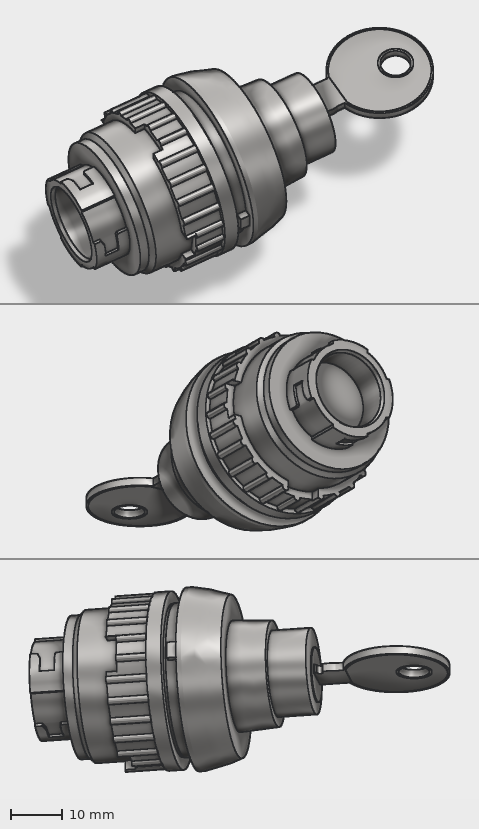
import cadquery as cq


SPIGOT_END = 7.45
COLLAR_END = 9.4
BODY_CHAMFER_END = 10.45
NUT_REAR = 16.4
NOTCH_END = 18.5
FLANGE_REAR = 24.5
FLANGE_FRONT = 27.5
GASKET_REAR = 28.0
BEZEL_REAR = 30.6
BEZEL_RIM_END = 31.65
BEZEL_FRONT = 39.2
CONE_FRONT = 46.95
LOCK_FRONT = 54.55
OVERALL_LENGTH = 80.9

COLLAR_R = 28.2 / 2
BODY_R = 30.0 / 2
FLANGE_R = 35.0 / 2
GASKET_R = 30.3 / 2
BEZEL_R = 36.0 / 2
BEZEL_FRONT_R = 16.0
BEZEL_MID_R = 17.2
CONE_REAR_R = 10.9
CONE_FRONT_R = 10.45
LOCK_R = 17.0 / 2

RIB_COUNT = 25
RIB_R = 0.7
NUT_ROOT_R = 16.5
NOTCH_WIDTH = 7.1

GASKET_TAB_REACH = 16.5
GASKET_TAB_WIDTH = 3.2
GASKET_TAB_REAR = 28.6
GASKET_NOTCH_WIDTH = 11.5
GASKET_NOTCH_DEPTH = 0.25

QUARTER_TURNS = (0, 90, 180, 270)
SPIGOT_ROOT_R = 9.5
LOBE_R = 20.0 / 2
LOBE_WIDTH = 8.1
SLOT_REAR = 2.0
SLOT_FRONT = 4.9
SLOT_FLARE_LENGTH = 1.1
SLOT_FLARE_DROP = 0.6
SLOT_CORNER = 0.3
BORE_R = 15.3 / 2
BORE_MOUTH_R = 8.0
BORE_MOUTH_DEPTH = 0.8
BORE_DEPTH = 6.9

KEY_X = -2.0
PLUG_R = 5.4
PLUG_HEIGHT = 0.2
KEY_HEAD_R = 10.45
KEY_HEAD_Y = OVERALL_LENGTH - KEY_HEAD_R
KEY_THICKNESS = 1.8
KEY_RIM_STEP = 0.1
KEY_RIM_WIDTH = 0.4
KEY_HOLE_R = 6.0 / 2
KEY_HOLE_RIM_R = 7.0 / 2
KEY_HOLE_Y = 74.1
KEY_PAD_END = 61.1
BLADE_WIDTH = 6.9
BLADE_ROOT_Y = LOCK_FRONT - 0.8
TOOTH_TIP_X = 1.6
TOOTH_FRONT_Y = 59.1
TOOTH_REAR_Y = 56.5
CUT_R = 0.6
CUT_X = 1.0
CUT_MOUTH_Y = 54.95


def disc_along_y(radius, rear, front, x=0.0):
    """Solid cylinder parallel to Y between two stations."""
    return cq.Workplane("XZ", origin=(x, rear, 0)).circle(radius).extrude(rear - front)


def box(width, rear, front, low, high):
    """Block centred on X = 0 between two stations and two heights."""
    size = (width, front - rear, high - low)
    return cq.Workplane("XY", origin=(0, rear, low)).box(*size, centered=(True, False, False))


def turned(solid, angle):
    """Copy of a solid turned about the Y axis."""
    return solid.rotate((0, 0, 0), (0, 1, 0), angle)


def turned_body():
    """Revolved core from the rear collar to the lock cylinder."""
    bezel_mid = (BEZEL_RIM_END + BEZEL_FRONT) / 2
    profile = (
        cq.Workplane("XY")
        .moveTo(0, SPIGOT_END)
        .lineTo(COLLAR_R, SPIGOT_END)
        .lineTo(COLLAR_R, COLLAR_END)
        .lineTo(BODY_R, BODY_CHAMFER_END)
        .lineTo(BODY_R, FLANGE_REAR)
        .lineTo(FLANGE_R, FLANGE_REAR)
        .lineTo(FLANGE_R, FLANGE_FRONT)
        .lineTo(BODY_R, FLANGE_FRONT)
        .lineTo(BODY_R, BEZEL_REAR)
        .lineTo(BEZEL_R, BEZEL_REAR)
        .lineTo(BEZEL_R, BEZEL_RIM_END)
        .threePointArc((BEZEL_MID_R, bezel_mid), (BEZEL_FRONT_R, BEZEL_FRONT))
        .lineTo(CONE_REAR_R, BEZEL_FRONT)
        .lineTo(CONE_FRONT_R, CONE_FRONT)
        .lineTo(LOCK_R, CONE_FRONT)
        .lineTo(LOCK_R, LOCK_FRONT)
        .lineTo(0, LOCK_FRONT)
        .close()
    )
    return profile.revolve(360, (0, 0, 0), (0, 1, 0))


def gasket():
    """Ring behind the bezel with a shallow top notch and an anti-rotation tab on +X."""
    ring = disc_along_y(GASKET_R, GASKET_REAR, BEZEL_REAR)
    notch_front = GASKET_REAR + GASKET_NOTCH_DEPTH
    ring = ring.cut(box(GASKET_NOTCH_WIDTH, GASKET_REAR, notch_front, 0, GASKET_R))
    tab = box(GASKET_TAB_WIDTH, GASKET_TAB_REAR, BEZEL_REAR, 0, GASKET_TAB_REACH)
    return ring.union(turned(tab, 90))


def nut():
    """Ribbed ring with four spanner notches in its rear edge."""
    ring = disc_along_y(NUT_ROOT_R, NUT_REAR, FLANGE_REAR)
    rib = disc_along_y(RIB_R, NUT_REAR, FLANGE_REAR).translate((0, 0, -NUT_ROOT_R))
    for index in range(RIB_COUNT):
        ring = ring.union(turned(rib, index * 360 / RIB_COUNT))
    notch = box(NOTCH_WIDTH, NUT_REAR, NOTCH_END, 0, BEZEL_R)
    for angle in QUARTER_TURNS:
        ring = ring.cut(turned(notch, angle))
    return ring


def bayonet_slot():
    """Slot for the top lobe: from the lobe's middle out to its -X side, flared at the mouth."""
    mouth_x = -LOBE_WIDTH / 2
    flare_x = mouth_x + SLOT_FLARE_LENGTH
    block = (
        cq.Workplane("XY")
        .moveTo(0, SLOT_REAR)
        .lineTo(flare_x, SLOT_REAR)
        .lineTo(mouth_x, SLOT_REAR - SLOT_FLARE_DROP)
        .lineTo(mouth_x, SLOT_FRONT + SLOT_CORNER)
        .lineTo(mouth_x + SLOT_CORNER, SLOT_FRONT)
        .lineTo(0, SLOT_FRONT)
        .close()
        .extrude(BEZEL_R)
    )
    return block.cut(disc_along_y(SPIGOT_ROOT_R, 0, SPIGOT_END))


def spigot():
    """Rear tube with four slotted lobes."""
    tube = disc_along_y(SPIGOT_ROOT_R, 0, SPIGOT_END)
    lobe = box(LOBE_WIDTH, 0, SPIGOT_END, 0, BEZEL_R)
    lobe = lobe.intersect(disc_along_y(LOBE_R, 0, SPIGOT_END)).cut(bayonet_slot())
    for angle in QUARTER_TURNS:
        tube = tube.union(turned(lobe, angle))
    return tube


def bore():
    """Blind rear bore with a tapered mouth."""
    return (
        cq.Workplane("XY")
        .lineTo(BORE_MOUTH_R, 0)
        .lineTo(BORE_R, BORE_MOUTH_DEPTH)
        .lineTo(BORE_R, BORE_DEPTH)
        .lineTo(0, BORE_DEPTH)
        .close()
        .revolve(360, (0, 0, 0), (0, 1, 0))
    )


def key_plate(sketch, thickness):
    """Plate of the given thickness, centred on Z = 0."""
    return sketch.extrude(thickness / 2, both=True)


def key():
    """Round-headed key: thin rims, a raised head face and a blade with one cut."""
    rim_thickness = KEY_THICKNESS - 2 * KEY_RIM_STEP
    plane = cq.Workplane("XY")
    head = key_plate(plane.center(KEY_X, KEY_HEAD_Y).circle(KEY_HEAD_R), rim_thickness)

    pad = key_plate(plane.center(KEY_X, KEY_HEAD_Y).circle(KEY_HEAD_R - KEY_RIM_WIDTH), KEY_THICKNESS)
    pad_limit = box(4 * KEY_HEAD_R, KEY_PAD_END, OVERALL_LENGTH, -KEY_THICKNESS, KEY_THICKNESS)
    hole_rim = key_plate(plane.center(KEY_X, KEY_HOLE_Y).circle(KEY_HOLE_RIM_R), KEY_THICKNESS)
    pad = pad.intersect(pad_limit).cut(hole_rim)

    left = KEY_X - BLADE_WIDTH / 2
    right = KEY_X + BLADE_WIDTH / 2
    tooth_mid_y = (TOOTH_FRONT_Y + TOOTH_REAR_Y) / 2
    cut_mid_y = TOOTH_REAR_Y - CUT_R
    cut_rear_y = TOOTH_REAR_Y - 2 * CUT_R
    blade_outline = (
        plane.moveTo(left, BLADE_ROOT_Y)
        .lineTo(left, KEY_HEAD_Y)
        .lineTo(right, KEY_HEAD_Y)
        .lineTo(right, TOOTH_FRONT_Y)
        .threePointArc((TOOTH_TIP_X, tooth_mid_y), (right, TOOTH_REAR_Y))
        .lineTo(CUT_X, TOOTH_REAR_Y)
        .threePointArc((CUT_X - CUT_R, cut_mid_y), (CUT_X, cut_rear_y))
        .lineTo(right, CUT_MOUTH_Y)
        .lineTo(right, BLADE_ROOT_Y)
        .close()
    )
    blade = key_plate(blade_outline, rim_thickness)
    hole = key_plate(plane.center(KEY_X, KEY_HOLE_Y).circle(KEY_HOLE_R), 2 * KEY_THICKNESS)
    return head.union(blade).union(pad).cut(hole)


plug = disc_along_y(PLUG_R, LOCK_FRONT, LOCK_FRONT + PLUG_HEIGHT, KEY_X)
result = turned_body().union(gasket()).union(nut()).union(spigot()).cut(bore()).union(plug).union(key())